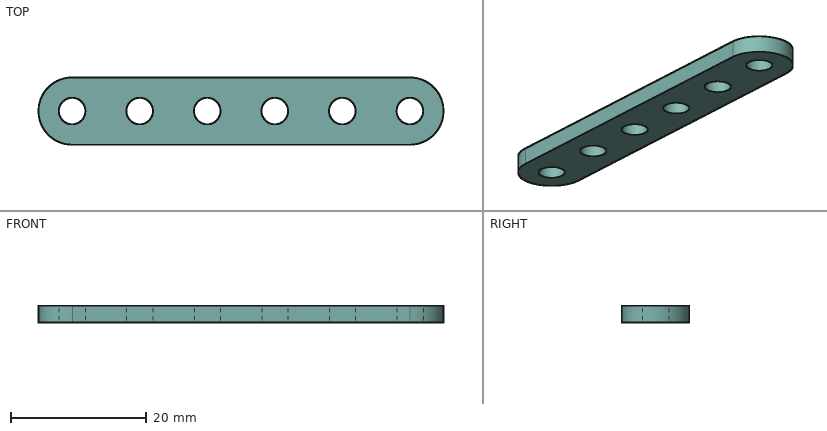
import cadquery as cq

length = 60.0
hole_count = 6
thickness = 2.5
hole_diameter = 3.9

pitch = length / hole_count
width = pitch

strap = cq.Workplane("XY").slot2D(length, width).extrude(thickness)

result = (
    strap.faces(">Z")
    .workplane()
    .rarray(pitch, width, hole_count, 1)
    .hole(hole_diameter)
)